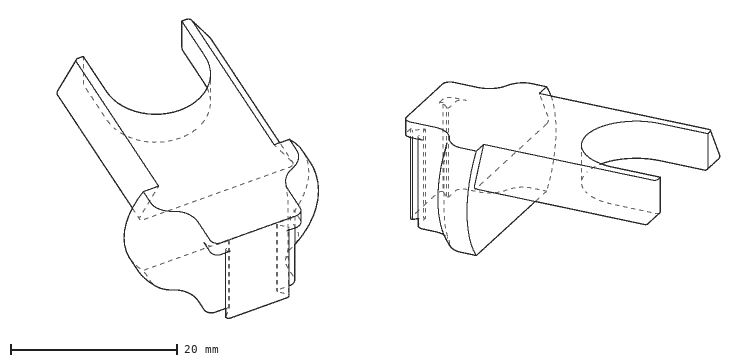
import cadquery as cq
import math

length = 34.65
width = 24.75
height = 14.0

fork_thickness = 5.0
fork_top_width = 15.45
fork_side_angle = 30.0
fork_edge_radius = 0.45
slot_width = 13.15
slot_depth = 13.0

flange_start = 23.05
flange_thickness = 5.0
flange_flat_width = 19.55
flange_round = 2.98

stem_width = 12.05
stem_corner_radius = 1.0
stem_blend_radius = 2.98
top_plate_thickness = 2.08
stem_end = 33.0

tongue_neck_width = 6.45
tongue_width = 8.45
flare_start = 33.23
flare_end = 34.25

trim_margin = 1.73
overlap = 1.73


def block(x_start, x_end, block_width, z_bottom, z_top):
    """Box centred on Y, given by its X and Z limits."""
    return cq.Workplane("XY").box(
        x_end - x_start, block_width, z_top - z_bottom, centered=(False, True, False)
    ).translate((x_start, 0, z_bottom))


def make_flange_and_stem():
    """Lens-shaped flange blended into the stem, trimmed flat at top and bottom."""
    half_height = height / 2
    bulge = (width - flange_flat_width) / 2
    side_radius = (half_height**2 + bulge**2) / (2 * bulge)
    arc_center = width / 2 - side_radius

    flange = None
    for side in (-1, 1):
        disc = (
            cq.Workplane("YZ", origin=(flange_start, side * arc_center, -half_height))
            .circle(side_radius)
            .extrude(flange_thickness)
            .faces(">X")
            .edges()
            .fillet(flange_round)
        )
        half_space = block(flange_start, length, width, -height - trim_margin, trim_margin)
        half_disc = disc.intersect(half_space.translate((0, side * width / 2, 0)))
        flange = half_disc if flange is None else flange.union(half_disc)

    stem = block(flange_start, stem_end, stem_width, -height - trim_margin, trim_margin)
    stem = stem.edges("|Z and >X").fillet(stem_corner_radius)
    body = flange.union(stem)

    tolerance = 0.05
    for side in (-1, 1):
        y = side * stem_width / 2
        selector = cq.selectors.BoxSelector(
            (flange_start + tolerance, y - tolerance, -height - trim_margin / 2),
            (stem_end - stem_corner_radius - tolerance, y + tolerance, trim_margin / 2),
        )
        body = body.edges(selector).fillet(stem_blend_radius)
    return body.intersect(block(0, length, width, -height, 0))


def make_fork():
    """Plate with sloping sides, rounded lower and end edges, and a round-ended slot."""
    top_half = fork_top_width / 2
    bottom_half = top_half + fork_thickness * math.tan(math.radians(fork_side_angle))
    fork = (
        cq.Workplane("YZ")
        .polyline([
            (-top_half, 0),
            (top_half, 0),
            (bottom_half, -fork_thickness),
            (-bottom_half, -fork_thickness),
        ])
        .close()
        .extrude(flange_start + overlap)
    )
    fork = fork.edges("(<X or <Z) and (not >Z) and (not >X)").fillet(fork_edge_radius)

    slot_radius = slot_width / 2
    slot_center = slot_depth - slot_radius
    slot = block(0, slot_center, slot_width, -fork_thickness, 0)
    slot_end = (
        cq.Workplane("XY")
        .center(slot_center, 0)
        .circle(slot_radius)
        .extrude(-fork_thickness)
    )
    return fork.cut(slot).cut(slot_end)


def make_top_plate():
    """Thin plate that carries the stem out to the full length."""
    plate = block(stem_end - overlap, length, stem_width, -top_plate_thickness, 0)
    return plate.edges("|Z and >X").fillet(stem_corner_radius)


def make_tongue():
    """Flared tongue with rounded outer corners, full height below the top plate."""
    neck_half = tongue_neck_width / 2
    tongue_half = tongue_width / 2
    corner = length - flare_end
    arc_mid = corner * math.sqrt(0.5)
    corner_y = tongue_half - corner
    return (
        cq.Workplane("XY")
        .moveTo(stem_end - overlap, -neck_half)
        .lineTo(flare_start, -neck_half)
        .lineTo(flare_end, -tongue_half)
        .threePointArc((flare_end + arc_mid, -corner_y - arc_mid), (length, -corner_y))
        .lineTo(length, corner_y)
        .threePointArc((flare_end + arc_mid, corner_y + arc_mid), (flare_end, tongue_half))
        .lineTo(flare_start, neck_half)
        .lineTo(stem_end - overlap, neck_half)
        .close()
        .extrude(-height)
    )


result = make_flange_and_stem().union(make_fork()).union(make_top_plate()).union(make_tongue())